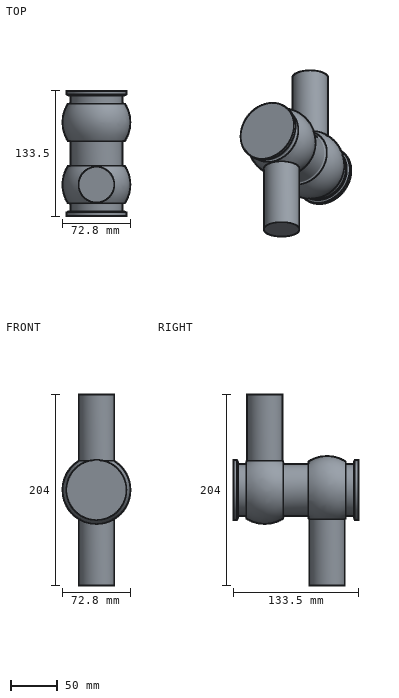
import cadquery as cq

total_height = 204.0
body_length = 133.5

tube_diameter = 55.7
flange_diameter = 64.2
flange_rim_width = 3.9
flange_taper_width = 1.2
flange_taper_end_diameter = 59.0

ball_diameter = 72.8
ball_width = 40.0
ball_spacing = 66.5
root_fillet = 1.0

rod_diameter = 38.1


def cylinder_along_y(diameter, length):
    """Cylinder on the Y axis, centred on the origin."""
    return cq.Workplane("XZ").circle(diameter / 2).extrude(length / 2, both=True)


def end_flange():
    """Flange at the -Y end: a flat rim with a conical back."""
    end_y = -body_length / 2
    rim_y = end_y + flange_rim_width
    taper_y = rim_y + flange_taper_width
    profile = [
        (0, end_y),
        (flange_diameter / 2, end_y),
        (flange_diameter / 2, rim_y),
        (flange_taper_end_diameter / 2, taper_y),
        (0, taper_y),
    ]
    return cq.Workplane("XY").polyline(profile).close().revolve(360, (0, 0, 0), (0, 1, 0))


def truncated_ball():
    """Ball cut flat on its -Y and +Y sides."""
    return cq.Workplane("XY").sphere(ball_diameter / 2).intersect(
        cylinder_along_y(ball_diameter + 2, ball_width)
    )


def body_with_balls():
    """Tube carrying both balls, with a fillet where each flat ball side meets the tube."""
    body = cylinder_along_y(tube_diameter, body_length)
    for ball_y in (-ball_spacing / 2, ball_spacing / 2):
        body = body.union(truncated_ball().translate((0, ball_y, 0)))
    root_edges = body.edges("%CIRCLE").filter(is_ball_root)
    return root_edges.fillet(root_fillet)


def is_ball_root(edge):
    """True for a tube-sized circle that is not at an end of the body."""
    tolerance = 0.002
    on_tube = abs(edge.radius() - tube_diameter / 2) < tolerance
    at_end = abs(edge.Center().y) > body_length / 2 - tolerance
    return on_tube and not at_end


def front_rod():
    """Rod rising from the centre of the front ball to the top of the part."""
    rod = cq.Workplane("XY").circle(rod_diameter / 2).extrude(total_height / 2)
    return rod.translate((0, -ball_spacing / 2, 0))


result = body_with_balls()
for front_piece in (front_rod(), end_flange()):
    rear_piece = front_piece.rotate((0, 0, 0), (1, 0, 0), 180)
    result = result.union(front_piece).union(rear_piece)